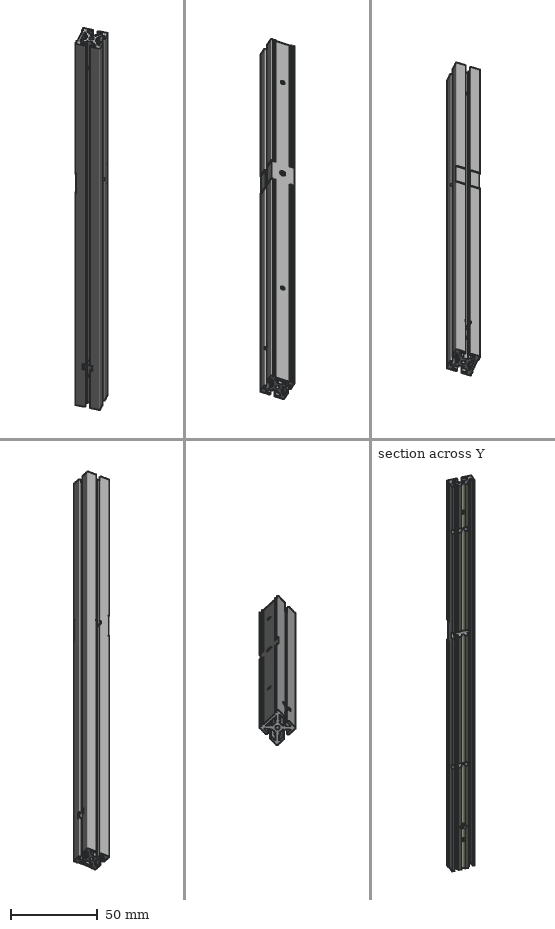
import cadquery as cq

length = 270.0
side = 15.0
half_side = side / 2
open_slot_angles = (0, 90, 270)
edge_radius = 0.5

slot_opening = 2.7
lip_thickness = 1.4
cavity_width = 9.0
ledge_offset = 4.0
ledge_width = 5.7
floor_offset = 3.0
floor_width = 3.0

rail_height = 0.5
recess_half_width = 4.3
groove_offset = 5.5
groove_floor_width = 0.3
wall_thickness = 1.5
wall_outer = half_side - rail_height
wall_inner = wall_outer - wall_thickness

tapped_diameter = 2.5
clearance_diameter = 3.5
tapped_heights_along_y = (-115.0, 115.0)
tapped_heights_along_x = (-61.5, 103.5)
clearance_height_along_y = -105.3
clearance_height_along_x = 30.5

relief_length = 14.5
lip_notch_width = 6.0
lip_notch_height = 3.8


def bar_prism(points):
    """Full-length prism from an XY outline."""
    return cq.Workplane("XY").polyline(points).close().extrude(length / 2, both=True)


def symmetric_prism(upper_points):
    """Full-length prism from the +Y half of an outline, mirrored about the X axis."""
    lower_points = [(x, -y) for x, y in reversed(upper_points)]
    return bar_prism(upper_points + lower_points)


def slot_cavity():
    """Hollow of a T-slot behind the +X lips: stepped floor and 45 degree flanks."""
    flank_run = (cavity_width - ledge_width) / 2
    return symmetric_prism(
        [
            (floor_offset, floor_width / 2),
            (ledge_offset, floor_width / 2),
            (ledge_offset, ledge_width / 2),
            (ledge_offset + flank_run, cavity_width / 2),
            (half_side - lip_thickness, cavity_width / 2),
        ]
    )


def face_trough(floor_start, floor_end):
    """Full-length trough in the -X face, as deep as the rails, with a floor between two Y positions."""
    return bar_prism(
        [
            (-half_side, floor_start - rail_height),
            (-wall_outer, floor_start),
            (-wall_outer, floor_end),
            (-half_side, floor_end + rail_height),
        ]
    )


def turned(shape, angle):
    """Shape turned about the bar axis."""
    return shape.rotate((0, 0, 0), (0, 0, 1), angle)


def cross_hole(plane, diameter, height):
    """Round hole through the whole bar, normal to a vertical plane through its axis."""
    return cq.Workplane(plane).center(0, height).circle(diameter / 2).extrude(half_side, both=True)


body = cq.Workplane("XY").box(side, side, length)
mouth = cq.Workplane("XY").box(lip_thickness, slot_opening, length)
mouth = mouth.translate((half_side - lip_thickness / 2, 0, 0))
for angle in open_slot_angles:
    body = body.cut(turned(mouth, angle))
outer_reach = half_side - edge_radius
outer_edges = body.edges("|Z").filter(
    lambda edge: max(abs(edge.Center().x), abs(edge.Center().y)) > outer_reach
)
body = body.newObject(outer_edges.vals()).fillet(edge_radius)

open_cavity = slot_cavity()
for angle in open_slot_angles:
    body = body.cut(turned(open_cavity, angle))
inside_wall = cq.Workplane("XY").box(2 * wall_inner, side, length)
body = body.cut(turned(open_cavity.intersect(inside_wall), 180))

groove_start = groove_offset + rail_height
groove_end = groove_start + groove_floor_width
body = body.cut(face_trough(-recess_half_width, recess_half_width))
body = body.cut(face_trough(groove_start, groove_end))
body = body.cut(face_trough(-groove_end, -groove_start))

body = body.cut(cq.Workplane("XY").circle(tapped_diameter / 2).extrude(length / 2, both=True))

for height in tapped_heights_along_y:
    body = body.cut(cross_hole("XZ", tapped_diameter, height))
for height in tapped_heights_along_x:
    body = body.cut(cross_hole("YZ", tapped_diameter, height))
body = body.cut(cross_hole("XZ", clearance_diameter, clearance_height_along_y))
body = body.cut(cross_hole("YZ", clearance_diameter, clearance_height_along_x))

relief = cq.Workplane("XY").box(rail_height, side, relief_length)
relief = relief.translate((-half_side + rail_height / 2, 0, clearance_height_along_x))
body = body.cut(relief).cut(turned(relief, -90))

notch = cq.Workplane("XY").box(lip_notch_width, lip_thickness, lip_notch_height)
body = body.cut(notch.translate((0, -half_side + lip_thickness / 2, clearance_height_along_y)))

result = body